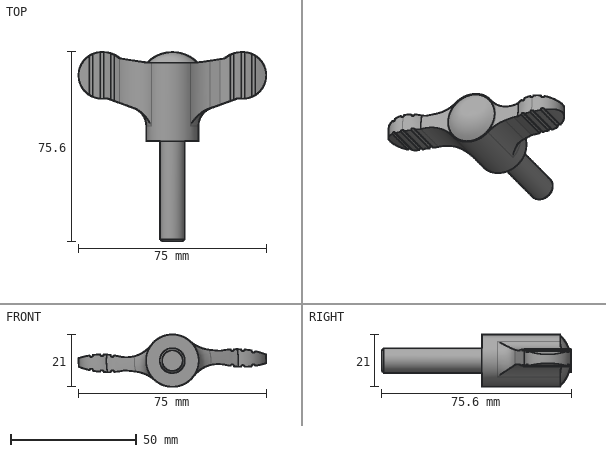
import cadquery as cq
import math


hub_radius = 10.5
hub_height = 31.3
dome_base_radius = 10.1
dome_height = 4.3
top_y = hub_height + dome_height

shank_radius = 5.0
shank_length = 40.0
shank_chamfer = 0.9

lobe_radius = 9.35
wing_span = 75.0
wing_reach = wing_span / 2
lobe_x = wing_reach - lobe_radius
lobe_y = top_y - lobe_radius
notch_x = 21.2
notch_y = 33.05
flare_start_y = 6.2
flare_radius = 7.3
underside_angle = math.radians(20.0)

seam_x = 7.14
waist_inner = (15.0, 4.35)
waist_outer = (19.0, 3.95)
crown = (25.6, 4.65)
tip_upper_z = 2.45
tip_lower_z = -1.0
root_radius = 12.5
root_center_z = -13.9
lower_blend_x = 21.2

groove_radius = 0.7
groove_pitch = 4.25
groove_count = 3

root_center_x = math.sqrt((hub_radius + root_radius) ** 2 - root_center_z**2)


def root_arc_z(x):
    """Height of the concave root arc under the wing."""
    return root_center_z + math.sqrt(root_radius**2 - (x - root_center_x) ** 2)


def circle_through(a, b, c):
    """Center and radius of the circle through three points."""
    d = 2 * (a[0] * (b[1] - c[1]) + b[0] * (c[1] - a[1]) + c[0] * (a[1] - b[1]))
    sa, sb, sc = (p[0] ** 2 + p[1] ** 2 for p in (a, b, c))
    x = (sa * (b[1] - c[1]) + sb * (c[1] - a[1]) + sc * (a[1] - b[1])) / d
    y = (sa * (c[0] - b[0]) + sb * (a[0] - c[0]) + sc * (b[0] - a[0])) / d
    return x, y, math.dist((x, y), a)


def spin(outline):
    """Revolve a closed XY outline fully about the Y axis."""
    return outline.revolve(360, (0, 0, 0), (0, 1, 0))


def make_hub():
    """Hub and spherical cap, with a narrow ledge around the cap."""
    dome_radius = (dome_base_radius**2 + dome_height**2) / (2 * dome_height)
    half_angle = math.asin(dome_base_radius / dome_radius) / 2
    dome_middle = (
        dome_radius * math.sin(half_angle),
        top_y - dome_radius * (1 - math.cos(half_angle)),
    )
    return spin(
        cq.Workplane("XY")
        .lineTo(hub_radius, 0)
        .lineTo(hub_radius, hub_height)
        .lineTo(dome_base_radius, hub_height)
        .threePointArc(dome_middle, (0, top_y))
        .close()
    )


def make_shank():
    """Plain rod below the hub with a chamfered end."""
    return (
        cq.Workplane("XZ")
        .circle(shank_radius)
        .extrude(shank_length)
        .faces("<Y")
        .chamfer(shank_chamfer)
    )


def make_wing_envelope():
    """Spun outline holding the flare, the sloping underside, the lobe and the upper edge."""
    flare_center_x = hub_radius + flare_radius
    flare_end = (
        flare_center_x - flare_radius * math.sin(underside_angle),
        flare_start_y + flare_radius * math.cos(underside_angle),
    )
    dx = lobe_x - flare_end[0]
    dy = lobe_y - flare_end[1]
    along = dx * math.cos(underside_angle) + dy * math.sin(underside_angle)
    offset = dy * math.cos(underside_angle) - dx * math.sin(underside_angle)
    run = along - math.sqrt(lobe_radius**2 - offset**2)
    underside_end = (
        flare_end[0] + run * math.cos(underside_angle),
        flare_end[1] + run * math.sin(underside_angle),
    )
    return spin(
        cq.Workplane("XY")
        .moveTo(0, flare_start_y)
        .lineTo(hub_radius, flare_start_y)
        .radiusArc(flare_end, flare_radius)
        .lineTo(*underside_end)
        .threePointArc((wing_reach, lobe_y), (lobe_x, top_y))
        .tangentArcPoint((notch_x, notch_y), relative=False)
        .lineTo(hub_radius, hub_height)
        .lineTo(0, hub_height)
        .close()
    )


def upper_face_z(x):
    """Height of the convex upper face between the waist and the tip."""
    center_x, center_z, radius = circle_through(waist_outer, crown, (wing_reach, tip_upper_z))
    return center_z + math.sqrt(radius**2 - (x - center_x) ** 2)


def lower_face_z(x):
    """Height of the convex lower face, an arc that leaves the root arc tangentially and ends at the tip."""
    blend_z = root_arc_z(lower_blend_x)
    normal_x = (lower_blend_x - root_center_x) / root_radius
    normal_z = (blend_z - root_center_z) / root_radius
    to_tip_x = wing_reach - lower_blend_x
    to_tip_z = tip_lower_z - blend_z
    radius = (to_tip_x**2 + to_tip_z**2) / (2 * (to_tip_x * normal_x + to_tip_z * normal_z))
    center_x = lower_blend_x + radius * normal_x
    center_z = blend_z + radius * normal_z
    return center_z - math.sqrt(radius**2 - (x - center_x) ** 2)


def make_wing_profile():
    """Thickness profile drawn in X and Z, extruded over the whole height of the hub."""
    seam_z = math.sqrt(hub_radius**2 - seam_x**2)
    touch_scale = hub_radius / (hub_radius + root_radius)
    touch = (root_center_x * touch_scale, root_center_z * touch_scale)
    root_crest = (root_center_x, root_center_z + root_radius)
    return (
        cq.Workplane("XZ")
        .lineTo(*touch)
        .threePointArc(root_crest, (lower_blend_x, root_arc_z(lower_blend_x)))
        .tangentArcPoint((wing_reach, tip_lower_z), relative=False)
        .lineTo(wing_reach, tip_upper_z)
        .threePointArc(crown, waist_outer)
        .lineTo(*waist_inner)
        .tangentArcPoint((seam_x, seam_z), relative=False)
        .close()
        .extrude(-top_y)
    )


def make_grooves():
    """Round grooves along Y, centered on the upper and lower faces of the lobe."""
    centers = []
    for index in range(groove_count):
        x = lobe_x + (index - (groove_count - 1) / 2) * groove_pitch
        centers.append((x, upper_face_z(x)))
        centers.append((x, lower_face_z(x)))
    return cq.Workplane("XZ").pushPoints(centers).circle(groove_radius).extrude(-top_y)


wing = make_wing_envelope().intersect(make_wing_profile()).cut(make_grooves())
opposite_wing = wing.rotate((0, 0, 0), (0, 1, 0), 180)
result = make_hub().union(make_shank()).union(wing).union(opposite_wing)